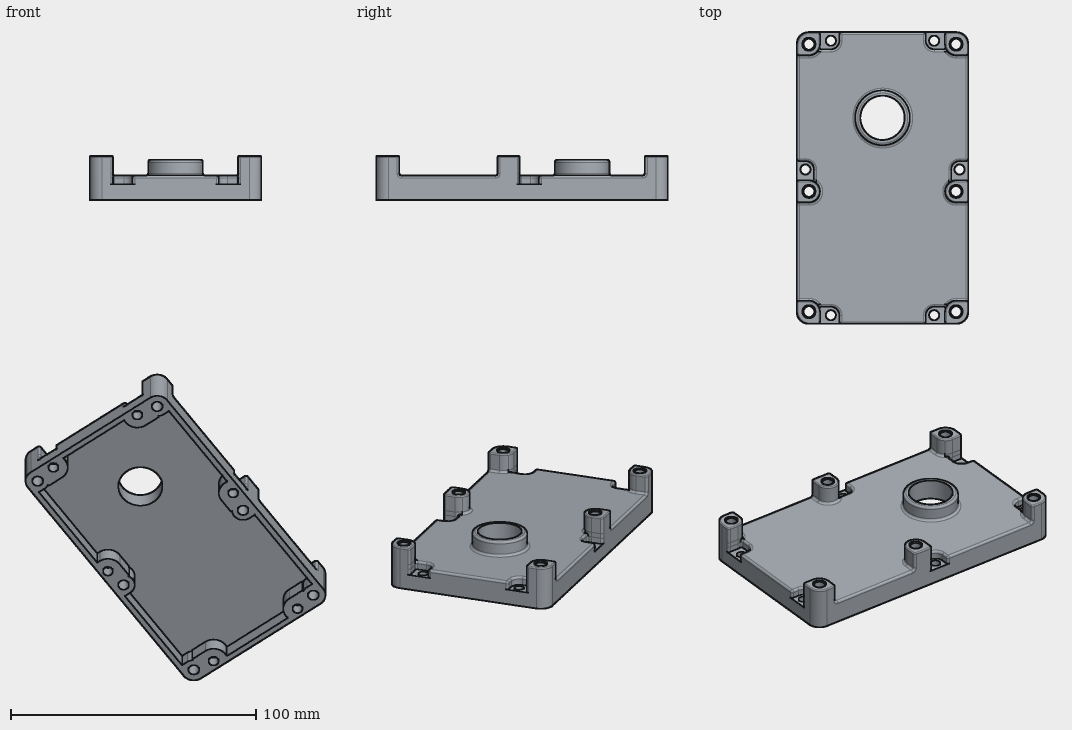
import cadquery as cq
width = 70.0
length = 119.0
height = 18.0

plate_height = 10.0
corner_radius = 5.0
edge_fillet = 1.0
roof_thickness = 2.4
wall = 2.4

post_radius = 4.5
post_top_fillet = 0.5
post_bore = 4.4
post_bore_chamfer = 0.5
countersink_angle = 90
post_x = width / 2 - corner_radius
post_y = length / 2 - corner_radius
middle_post_y = -5.5

seat_floor = 6.4
seat_radius = 3.5
seat_inset = 3.6
seat_bore = 4.0
pocket_fillet = 0.7
seat_offset = 8.9
seat_overrun = post_radius / 2
end_seat_x = post_x - seat_offset
end_seat_y = length / 2 - seat_inset
middle_seat_x = width / 2 - seat_inset
middle_seat_y = middle_post_y + seat_offset

boss_y = 24.5
boss_radius = 11.2
boss_top = 16.4
boss_fillet = 1.0
boss_bore = 18.0

tolerance = 0.001


def block(x_range, y_range, z_range):
    """Axis-aligned box between its lower and upper limits."""
    (x0, x1), (y0, y1), (z0, z1) = x_range, y_range, z_range
    return cq.Workplane("XY").box(x1 - x0, y1 - y0, z1 - z0, centered=False).translate((x0, y0, z0))


def cylinder(center, radius, bottom, top):
    return cq.Workplane("XY", origin=(*center, bottom)).circle(radius).extrude(top - bottom)


def plain_plate():
    return block(
        (-width / 2, width / 2), (-length / 2, length / 2), (0, plate_height)
    ).edges("|Z").fillet(corner_radius)


def outer_corner_edges(solid, bottom):
    """Vertical edges that rise from the given level on one of the four outer sides."""

    def is_outer(edge):
        point = edge.Center()
        on_side = abs(abs(point.x) - width / 2) < tolerance
        on_end = abs(abs(point.y) - length / 2) < tolerance
        return (on_side or on_end) and abs(edge.BoundingBox().zmin - bottom) < tolerance

    return [edge for edge in solid.edges("|Z").vals() if is_outer(edge)]


def mirrored_on_four_corners(corner, middle):
    """A shape at the +X +Y corner copied to all corners, and one at mid +X to both sides."""
    right_side = corner.union(corner.mirror("XZ")).union(middle)
    return right_side.union(right_side.mirror("YZ"))


def corner_post():
    """Square post at the +X +Y corner, with a rounded outer and inner corner."""
    post = block(
        (post_x - post_radius, width / 2), (post_y - post_radius, length / 2), (0, height)
    )
    post = post.edges("|Z").edges(">XY").fillet(corner_radius)
    return post.edges("|Z").edges("<XY").fillet(post_radius)


def middle_post():
    """D-shaped post on the +X side."""
    y_range = (middle_post_y - post_radius, middle_post_y + post_radius)
    post = block((post_x, width / 2), y_range, (0, height))
    return post.union(cylinder((post_x, middle_post_y), post_radius, 0, height))


def all_posts(seat_side_fillet=0):
    """All six posts, optionally with the outer edge next to each seat rounded."""
    corner = corner_post()
    middle = middle_post()
    if seat_side_fillet:
        corner = corner.edges("|Z").edges("<X").edges(">Y").fillet(seat_side_fillet)
        middle = middle.edges("|Z").edges(">X").edges(">Y").fillet(seat_side_fillet)
    return mirrored_on_four_corners(corner, middle)


def end_seat(margin, bottom, top):
    """Footprint of the seat beside the +X +Y corner post, widened inwards and extruded."""
    reach = seat_radius + margin
    seat = block(
        (end_seat_x - reach, post_x - post_radius + seat_overrun),
        (end_seat_y - reach, length / 2),
        (bottom, top),
    )
    return seat.edges("|Z").edges("<XY").fillet(reach)


def middle_seat(margin, bottom, top):
    """Footprint of the seat beside the +X middle post, widened inwards and extruded."""
    reach = seat_radius + margin
    seat = block(
        (middle_seat_x - reach, width / 2),
        (middle_post_y + post_radius - seat_overrun, middle_seat_y + reach),
        (bottom, top),
    )
    return seat.edges("|Z").edges("<X").edges(">Y").fillet(reach)


def all_seats(margin, bottom, top):
    return mirrored_on_four_corners(end_seat(margin, bottom, top), middle_seat(margin, bottom, top))


def posted_plate():
    """Plate with posts, rounded along its rim, around the post feet and over the post tops."""
    plate = plain_plate().union(all_posts()).clean()
    plate_top = plate.faces("|Z").faces(cq.selectors.NearestToPointSelector((0, 0, plate_height)))
    edges = plate_top.edges().vals() + outer_corner_edges(plate, plate_height)
    plate = plate.newObject(edges).fillet(edge_fillet)
    return plate.faces(">Z").edges().fillet(post_top_fillet)


def pocket_corner_edges(pockets):
    """Vertical edges where the inner wall of each pocket runs into the post."""

    def is_inner(edge):
        point = edge.Center()
        at_end = abs(abs(point.y) - (end_seat_y - seat_radius)) < tolerance
        at_middle = abs(abs(point.x) - (middle_seat_x - seat_radius)) < tolerance
        beyond_end = at_end and abs(point.x) > end_seat_x + tolerance
        beyond_middle = at_middle and point.y < middle_seat_y - tolerance
        return beyond_end or (beyond_middle and abs(point.y) < post_radius)

    return [edge for edge in pockets.edges("|Z").vals() if is_inner(edge)]


def seat_cutter():
    """Space to clear for the seats: flared at the plate top and stopping at the posts."""
    pockets = all_seats(0, seat_floor, plate_height).cut(all_posts())
    pockets = pockets.newObject(pocket_corner_edges(pockets)).fillet(pocket_fillet)
    plate = plain_plate().cut(pockets)
    edges = plate.faces(">Z").edges().vals() + outer_corner_edges(plate, seat_floor)
    plate = plate.newObject(edges).fillet(edge_fillet)
    posts = all_posts(seat_side_fillet=edge_fillet)
    zones = all_seats(edge_fillet, seat_floor, height)
    return zones.cut(plate, clean=False).cut(posts, clean=False)


def cavity():
    """Hollow in the underside, leaving the walls, the posts and the seats solid."""
    roof = plate_height - roof_thickness
    hollow = block(
        (-width / 2 + wall, width / 2 - wall), (-length / 2 + wall, length / 2 - wall), (0, roof)
    )
    return hollow.cut(all_posts()).cut(all_seats(wall, 0, height))


def add_boss(body):
    """Round boss with a filleted rim and foot, bored through."""
    boss = cylinder((0, boss_y), boss_radius, 0, boss_top).faces(">Z").edges().fillet(boss_fillet)
    body = body.union(boss)
    foot = cq.selectors.NearestToPointSelector((0, boss_y - boss_radius, plate_height))
    body = body.edges("%CIRCLE").edges(foot).fillet(boss_fillet)
    return body.cut(cylinder((0, boss_y), boss_bore / 2, 0, boss_top))


def drill(body):
    """Through bores of all posts and seats; post bores are chamfered at the top."""
    post_bores = [(side * post_x, y) for side in (-1, 1) for y in (-post_y, middle_post_y, post_y)]
    seat_bores = [(side * end_seat_x, end * end_seat_y) for side in (-1, 1) for end in (-1, 1)]
    seat_bores += [(side * middle_seat_x, middle_seat_y) for side in (-1, 1)]
    chamfered_bore = post_bore + 2 * post_bore_chamfer
    body = (
        cq.Workplane("XY", origin=(0, 0, height)).add(body)
        .pushPoints(post_bores)
        .cskHole(post_bore, chamfered_bore, countersink_angle)
    )
    for center in seat_bores:
        body = body.cut(cylinder(center, seat_bore / 2, 0, plate_height))
    return body


body = drill(add_boss(posted_plate()).cut(cavity()))
result = body.cut(seat_cutter(), clean=False)